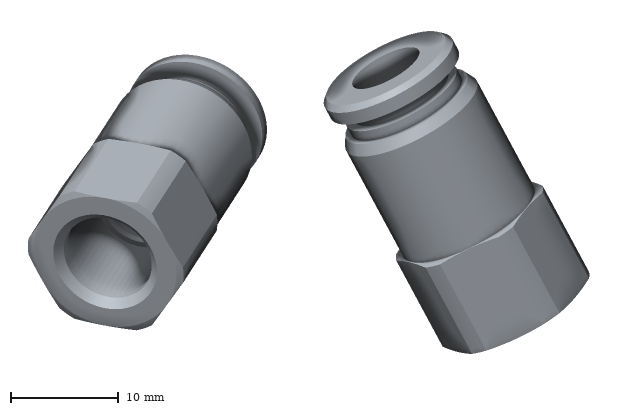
import cadquery as cq
import math

total_length = 27.1

hex_across_flats = 14.0
hex_corner_radius = 7.65
hex_length = 10.0
hex_chamfer_length = 0.2
hex_face_radius = hex_across_flats / 2

body_radius = 6.88
body_end_y = 22.85
body_chamfer_length = 1.03
body_end_radius = 6.35

collar_radius = 5.77
collar_end_y = 23.9
neck_radius = 4.9
neck_fillet = 0.33
flange_radius = 6.72
flange_start_y = 25.28
flange_chamfer = 0.51

socket_radius = 4.3
socket_depth = hex_length
socket_chamfer = 0.79
through_radius = 3.5
through_chamfer = 0.3


def revolve_about_y(half_profile):
    """Turn a closed outline, with X as the radius, a full revolution about the Y axis."""
    return half_profile.revolve(360, (0, 0, 0), (0, 1, 0))


def closed_outline(points):
    """Straight-sided outline through (radius, y) points."""
    return cq.Workplane("XY").polyline(points).close()


def hexagon():
    """Hexagon with flats facing +Z and -Z, its corners turned round and both ends chamfered."""
    circumscribed_diameter = hex_across_flats / math.cos(math.radians(30))
    prism = cq.Workplane("XZ").polygon(6, circumscribed_diameter).extrude(-hex_length)
    turned_blank = revolve_about_y(closed_outline([
        (0, 0),
        (hex_face_radius, 0),
        (hex_corner_radius, hex_chamfer_length),
        (hex_corner_radius, hex_length - hex_chamfer_length),
        (hex_face_radius, hex_length),
        (0, hex_length),
    ]))
    return prism.intersect(turned_blank)


def body_and_sleeve():
    """Chamfered body followed by the collar, the neck filleted into the flange, and the flange."""
    start_y = hex_length / 2
    half_profile = (
        cq.Workplane("XY")
        .moveTo(0, start_y)
        .lineTo(body_radius, start_y)
        .lineTo(body_radius, body_end_y - body_chamfer_length)
        .lineTo(body_end_radius, body_end_y)
        .lineTo(collar_radius, body_end_y)
        .lineTo(collar_radius, collar_end_y)
        .lineTo(neck_radius, collar_end_y)
        .lineTo(neck_radius, flange_start_y - neck_fillet)
        .tangentArcPoint((neck_radius + neck_fillet, flange_start_y), relative=False)
        .lineTo(flange_radius, flange_start_y)
        .lineTo(flange_radius, total_length - flange_chamfer)
        .lineTo(flange_radius - flange_chamfer, total_length)
        .lineTo(0, total_length)
        .close()
    )
    return revolve_about_y(half_profile)


def bore():
    """Chamfered socket with a flat floor, then a narrower chamfered hole through the far end."""
    return revolve_about_y(closed_outline([
        (0, 0),
        (socket_radius + socket_chamfer, 0),
        (socket_radius, socket_chamfer),
        (socket_radius, socket_depth),
        (through_radius + through_chamfer, socket_depth),
        (through_radius, socket_depth + through_chamfer),
        (through_radius, total_length),
        (0, total_length),
    ]))


result = hexagon().union(body_and_sleeve()).cut(bore())